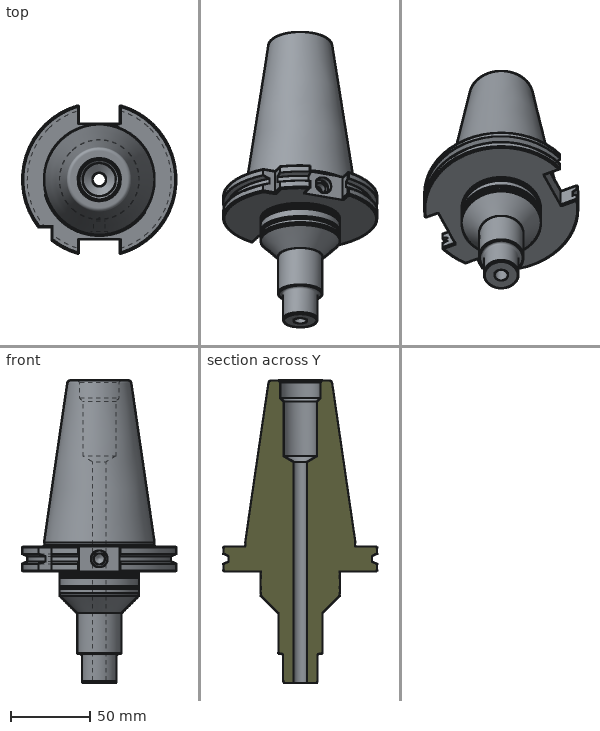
import cadquery as cq
import math


total_length = 191.1
top_z = 102.5
bottom_z = top_z - total_length

gauge_radius = 35.0
taper_slope = 7 / 48
taper_top_radius = gauge_radius - taper_slope * top_z
taper_top_fillet = 2.3
relief_radius = 34.8

flange_radius = 48.7
flange_top_z = -2.5
flange_thickness = 15.9
flange_bottom_z = flange_top_z - flange_thickness
flange_bevel = 0.8
relief_fillet = 0.8

groove_z = -10.3
groove_depth = 3.2
groove_mouth = 6.3
groove_floor = 3.2

slot_width = 25.6
front_slot_floor = 37.6
back_slot_floor = 35.4

notch_edge = 30.2

pin_radius = 7.0 / 2
pin_counterbore_radius = 10.5 / 2
pin_counterbore_depth = 5.0
pin_depth = 11.5

collar_radius = 50.0 / 2
band_radius = 50.5 / 2
band_bevel_height = 0.5
bands = [(-19.0, -20.8), (-22.0, -28.0), (-28.9, -32.3)]
collar_bottom_z = -33.6

nose_radius = 28.0 / 2
nose_top_z = collar_bottom_z - (collar_radius - nose_radius)
nose_bottom_z = -70.3
nose_bevel = 0.5
tip_radius = 22.0 / 2
tip_fillet = 1.1
tip_end_radius = 20.8 / 2
tip_bevel_height = 1.1

bore_mouth_radius = 13.5
bore_mouth_bevel_depth = 1.5
pilot_radius = 25.0 / 2
pilot_depth = 11.3
thread_radius = 20.8 / 2
thread_depth = 47.8
through_radius = 8.5 / 2
drill_half_angle = 59.0


def revolve_profile(points):
    """Turn a closed (radius, height) outline about Z."""
    return cq.Workplane("XZ").polyline(points).close().revolve(360, (0, 0), (0, 1))


def cone_height(large_radius, small_radius=0.0):
    """Height of a drill-point cone between two radii."""
    return (large_radius - small_radius) / math.tan(math.radians(drill_half_angle))


def make_taper():
    fillet_top_z = flange_top_z + relief_fillet
    taper = (
        cq.Workplane("XZ")
        .moveTo(0, top_z)
        .lineTo(taper_top_radius, top_z)
        .lineTo(gauge_radius, 0)
        .lineTo(relief_radius, 0)
        .lineTo(relief_radius, fillet_top_z)
        .radiusArc((relief_radius + relief_fillet, flange_top_z), -relief_fillet)
        .lineTo(0, flange_top_z)
        .close()
        .revolve(360, (0, 0), (0, 1))
    )
    return taper.faces(">Z").edges().fillet(taper_top_fillet)


def flange_box(x_min, x_max, y_min, y_max):
    """Box through the full thickness of the flange."""
    corner = (x_min, y_min, flange_bottom_z)
    return cq.Workplane("XY").box(
        x_max - x_min, y_max - y_min, flange_thickness, centered=False
    ).translate(corner)


def is_bevelled(edge):
    """True for the top and bottom outlines, except slot floors, and the outer slot corners."""
    center = edge.Center()
    if edge.BoundingBox().zlen > 0:
        on_rim = math.isclose(math.hypot(center.x, center.y), flange_radius)
        return on_rim and math.isclose(abs(center.x), slot_width / 2)
    return abs(center.x) > flange_bevel


def make_flange():
    flange = (
        cq.Workplane("XY", origin=(0, 0, flange_bottom_z))
        .circle(flange_radius)
        .extrude(flange_thickness)
        .cut(flange_box(-slot_width / 2, slot_width / 2, -flange_radius, -front_slot_floor))
        .cut(flange_box(-slot_width / 2, slot_width / 2, back_slot_floor, flange_radius))
        .cut(flange_box(-flange_radius, -notch_edge, -flange_radius, -notch_edge))
    )
    return flange.edges().filter(is_bevelled).chamfer(flange_bevel)


def make_v_groove():
    floor_radius = flange_radius - groove_depth
    outer_radius = flange_radius + groove_depth
    return revolve_profile([
        (floor_radius, groove_z + groove_floor / 2),
        (flange_radius, groove_z + groove_mouth / 2),
        (outer_radius, groove_z + groove_mouth / 2),
        (outer_radius, groove_z - groove_mouth / 2),
        (flange_radius, groove_z - groove_mouth / 2),
        (floor_radius, groove_z - groove_floor / 2),
    ])


def make_pin_hole():
    """Counterbored drilled hole running inward along +Y from the front slot floor."""
    tip_depth = pin_depth + cone_height(pin_radius)
    profile = [
        (0, 0),
        (pin_counterbore_radius, 0),
        (pin_counterbore_radius, -pin_counterbore_depth),
        (pin_radius, -pin_counterbore_depth),
        (pin_radius, -pin_depth),
        (0, -tip_depth),
    ]
    return (
        revolve_profile(profile)
        .rotate((0, 0, 0), (1, 0, 0), 90)
        .translate((0, -front_slot_floor, groove_z))
    )


def make_collar():
    outline = [(0, flange_bottom_z), (collar_radius, flange_bottom_z)]
    for band_top, band_bottom in bands:
        outline += [
            (collar_radius, band_top),
            (band_radius, band_top - band_bevel_height),
            (band_radius, band_bottom + band_bevel_height),
            (collar_radius, band_bottom),
        ]
    outline += [
        (collar_radius, collar_bottom_z),
        (nose_radius, nose_top_z),
        (0, nose_top_z),
    ]
    return revolve_profile(outline)


def make_nose():
    return (
        cq.Workplane("XZ")
        .moveTo(0, nose_top_z)
        .lineTo(nose_radius, nose_top_z)
        .lineTo(nose_radius, nose_bottom_z + nose_bevel)
        .lineTo(nose_radius - nose_bevel, nose_bottom_z)
        .lineTo(tip_radius + tip_fillet, nose_bottom_z)
        .radiusArc((tip_radius, nose_bottom_z - tip_fillet), -tip_fillet)
        .lineTo(tip_radius, bottom_z + tip_bevel_height)
        .lineTo(tip_end_radius, bottom_z)
        .lineTo(0, bottom_z)
        .close()
        .revolve(360, (0, 0), (0, 1))
    )


def make_bore():
    pilot_bottom_z = top_z - pilot_depth
    thread_bottom_z = top_z - thread_depth
    return revolve_profile([
        (0, top_z),
        (bore_mouth_radius, top_z),
        (pilot_radius, top_z - bore_mouth_bevel_depth),
        (pilot_radius, pilot_bottom_z),
        (thread_radius, pilot_bottom_z - (pilot_radius - thread_radius)),
        (thread_radius, thread_bottom_z),
        (through_radius, thread_bottom_z - cone_height(thread_radius, through_radius)),
        (through_radius, bottom_z),
        (0, bottom_z),
    ])


result = (
    make_taper()
    .union(make_flange())
    .union(make_collar())
    .union(make_nose())
    .cut(make_v_groove())
    .cut(make_pin_hole())
    .cut(make_bore())
)